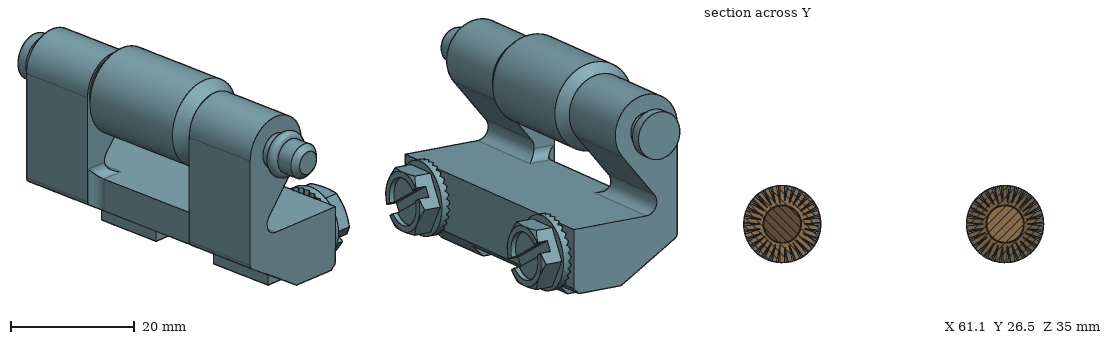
import cadquery as cq
import math


PIN_DIA = 6.0
PIN_HEAD_DIA = 8.0
PIN_HEAD_LENGTH = 1.8
PIN_LEFT_X = -28.85
PIN_LENGTH = 61.1
PIN_TIP_DIA = 4.0
BEAD_X = 27.3
BEAD_RADIUS = (PIN_HEAD_DIA - PIN_DIA) / 2

BRACKET_WIDTH = 50.05
ARM_GAP = 22.7
ARM_RADIUS = 6.0
BACK_Y = 14.0
BEAM_TOP_Z = -14.55
BEAM_FRONT_Y = -4.05
BASE_Z = -25.55
BASE_FRONT_Y = 4.9
NOSE_Z = -19.0
NOSE_FILLET = 1.0
THROAT_RADIUS = 2.0
WINDOW_FILLET = 1.8
BACK_CHAMFER_Z = -24.55

ROLLER_DIA = 15.0
ROLLER_LENGTH = 22.35
ROLLER_CHAMFER = 1.95

OVERALL_HEIGHT = 35.0
FOOT_WIDTH = 12.2
FOOT_X = 12.5
FOOT_BOTTOM_Z = ROLLER_DIA / 2 - OVERALL_HEIGHT

SCREW_X = 18.0
SCREW_Z = -20.0
SHANK_DIA = 6.0
SHANK_DEPTH = 9.8
HEAD_FLATS = 10.0
HEAD_HEIGHT = 3.5
HEAD_BEVEL_DIA = HEAD_FLATS
HEAD_BEVEL_ANGLE = 30.0
SLOT_WIDTH = 1.85
SLOT_DEPTH = 1.9
SLOT_ANGLE = 30.0
RECESS_DIA = 8.0
RECESS_DEPTH = 0.9
WASHER_DIA = 12.5
WASHER_BORE = 6.1
WASHER_THICKNESS = 1.5
TOOTH_COUNT = 30
TOOTH_DEPTH = 0.5
GROOVE_SHARE = 0.9

PIN_RADIUS = PIN_DIA / 2
HEAD_CORNERS = HEAD_FLATS / math.cos(math.pi / 6)
LEFT_ARM_INNER_X = -ARM_GAP / 2


def x_cylinder(diameter, start_x, length):
    """Cylinder on the pin axis."""
    return cq.Workplane("YZ").workplane(offset=start_x).circle(diameter / 2).extrude(length)


def y_cylinder(diameter, start_y, length):
    """Cylinder on the Y axis, running toward +Y."""
    return cq.Workplane("XZ", origin=(0, start_y, 0)).circle(diameter / 2).extrude(-length)


def x_extrusion(outline, width, center_x=0):
    """Extrude a YZ outline symmetrically about a plane of constant X."""
    return outline.extrude(width / 2, both=True).translate((center_x, 0, 0))


def make_pin():
    """Headed pin with a chamfered tip and a retaining bead."""
    tip_chamfer = (PIN_DIA - PIN_TIP_DIA) / 2
    shaft = x_cylinder(PIN_DIA, PIN_LEFT_X, PIN_LENGTH).faces(">X").chamfer(tip_chamfer)
    head = x_cylinder(PIN_HEAD_DIA, PIN_LEFT_X, PIN_HEAD_LENGTH)
    bead = (
        cq.Workplane("XY")
        .center(BEAD_X, PIN_RADIUS)
        .circle(BEAD_RADIUS)
        .revolve(360, (0, -PIN_RADIUS), (1, -PIN_RADIUS))
    )
    return shaft.union(head).union(bead)


def make_roller():
    """Bevelled roller, pushed against the inner face of the left arm."""
    roller = x_cylinder(ROLLER_DIA, LEFT_ARM_INNER_X, ROLLER_LENGTH)
    roller = roller.faces("<X or >X").chamfer(ROLLER_CHAMFER)
    return roller.cut(x_cylinder(PIN_DIA, LEFT_ARM_INNER_X, ROLLER_LENGTH))


def bracket_profile():
    """Hook-shaped side outline: eye, straight front, sloped underside, base and throat."""
    throat_z = BEAM_TOP_Z + THROAT_RADIUS
    tangent_sin = (ARM_RADIUS + THROAT_RADIUS) / -throat_z
    tangent_cos = math.sqrt(1 - tangent_sin**2)
    arc_mid_offset = THROAT_RADIUS * math.sqrt(0.5)
    chamfer_run = BACK_CHAMFER_Z - BASE_Z
    return (
        cq.Workplane("YZ")
        .moveTo(-ARM_RADIUS, 0)
        .lineTo(-ARM_RADIUS, NOSE_Z)
        .lineTo(BASE_FRONT_Y, BASE_Z)
        .lineTo(BACK_Y - chamfer_run, BASE_Z)
        .lineTo(BACK_Y, BACK_CHAMFER_Z)
        .lineTo(BACK_Y, BEAM_TOP_Z)
        .lineTo(0, BEAM_TOP_Z)
        .threePointArc(
            (-arc_mid_offset, throat_z - arc_mid_offset),
            (-THROAT_RADIUS * tangent_cos, throat_z + THROAT_RADIUS * tangent_sin),
        )
        .lineTo(ARM_RADIUS * tangent_cos, -ARM_RADIUS * tangent_sin)
        .threePointArc((0, ARM_RADIUS), (-ARM_RADIUS, 0))
        .close()
    )


def cut_window(body):
    """Open the space between the arms and set the beam back from the front face."""
    above_beam = (
        cq.Workplane("XY")
        .box(ARM_GAP, 4 * ARM_RADIUS, 2 * ARM_RADIUS - BEAM_TOP_Z, centered=(True, True, False))
        .translate((0, 0, BEAM_TOP_Z))
        .edges("|Y and <Z")
        .fillet(WINDOW_FILLET)
    )
    before_beam = (
        cq.Workplane("XY")
        .box(ARM_GAP, ARM_RADIUS, -FOOT_BOTTOM_Z, centered=(True, False, False))
        .translate((0, BEAM_FRONT_Y - ARM_RADIUS, FOOT_BOTTOM_Z))
        .edges("|Z and >Y")
        .fillet(WINDOW_FILLET)
    )
    return body.cut(above_beam).cut(before_beam)


def make_foot(center_x):
    """Foot block whose back edge continues the 45 degree chamfer of the base."""
    outline = (
        cq.Workplane("YZ")
        .moveTo(BASE_FRONT_Y, BASE_Z)
        .lineTo(BASE_FRONT_Y, FOOT_BOTTOM_Z)
        .lineTo(BACK_Y - (BACK_CHAMFER_Z - FOOT_BOTTOM_Z), FOOT_BOTTOM_Z)
        .lineTo(BACK_Y - (BACK_CHAMFER_Z - BASE_Z), BASE_Z)
        .close()
    )
    return x_extrusion(outline, FOOT_WIDTH, center_x)


def make_bracket():
    """Bracket with two arms, two feet, the pin bore and two blind screw holes."""
    bracket = x_extrusion(bracket_profile(), BRACKET_WIDTH)
    nose_edge = cq.selectors.NearestToPointSelector((0, -ARM_RADIUS, NOSE_Z))
    bracket = cut_window(bracket.edges(nose_edge).fillet(NOSE_FILLET))
    for side in (-1, 1):
        bracket = bracket.union(make_foot(side * FOOT_X))
        shank_hole = y_cylinder(SHANK_DIA, BACK_Y - SHANK_DEPTH, SHANK_DEPTH)
        bracket = bracket.cut(shank_hole.translate((side * SCREW_X, 0, SCREW_Z)))
    return bracket.cut(x_cylinder(PIN_DIA, -BRACKET_WIDTH / 2, BRACKET_WIDTH))


def tooth_groove():
    """Radial V groove along +X, tapering in proportion to the distance from the washer axis."""
    inner_radius = WASHER_BORE / 4
    outer_radius = WASHER_DIA / 2
    length = outer_radius - inner_radius

    def section(radius):
        half_width = radius * math.tan(GROOVE_SHARE * math.pi / TOOTH_COUNT)
        depth = TOOTH_DEPTH * radius / outer_radius
        return [(-half_width, 0), (half_width, 0), (0, depth)]

    return (
        cq.Workplane("ZY", origin=(outer_radius, 0, 0))
        .polyline(section(outer_radius))
        .close()
        .workplane(offset=length)
        .polyline(section(inner_radius))
        .close()
        .loft(ruled=True)
    )


def make_washer():
    """Washer on the Y axis with its toothed face on Y = 0."""
    washer = y_cylinder(WASHER_DIA, 0, WASHER_THICKNESS).cut(y_cylinder(WASHER_BORE, 0, WASHER_THICKNESS))
    groove = tooth_groove()
    for index in range(TOOTH_COUNT):
        washer = washer.cut(groove.rotate((0, 0, 0), (0, 1, 0), index * 360 / TOOTH_COUNT))
    return washer


def make_screw():
    """Slotted hexagon screw on the Y axis; Y = 0 is the plane of the mounting face."""
    head_top = WASHER_THICKNESS + HEAD_HEIGHT
    head = cq.Workplane("XZ", origin=(0, WASHER_THICKNESS, 0)).polygon(6, HEAD_CORNERS).extrude(-HEAD_HEIGHT)
    bevel_rise = math.tan(math.radians(HEAD_BEVEL_ANGLE))
    bevel_drop = (HEAD_CORNERS - HEAD_BEVEL_DIA) / 2 * bevel_rise
    bevel_envelope = (
        cq.Workplane("XY")
        .moveTo(0, WASHER_THICKNESS)
        .lineTo(HEAD_CORNERS / 2, WASHER_THICKNESS)
        .lineTo(HEAD_CORNERS / 2, head_top - bevel_drop)
        .lineTo(HEAD_BEVEL_DIA / 2, head_top)
        .lineTo(0, head_top)
        .close()
        .revolve(360, (0, 0), (0, 1))
    )
    slot = (
        cq.Workplane("XY")
        .box(2 * HEAD_CORNERS, 2 * SLOT_DEPTH, SLOT_WIDTH)
        .rotate((0, 0, 0), (0, 1, 0), SLOT_ANGLE)
        .translate((0, head_top, 0))
    )
    recess = y_cylinder(RECESS_DIA, head_top - RECESS_DEPTH, RECESS_DEPTH)
    shank = y_cylinder(SHANK_DIA, -SHANK_DEPTH, SHANK_DEPTH + WASHER_THICKNESS)
    return head.intersect(bevel_envelope).cut(slot).cut(recess).union(shank)


bracket = make_bracket()
pin = make_pin()
roller = make_roller()
washer = make_washer()
screw = make_screw()

screw_places = [(side * SCREW_X, BACK_Y, SCREW_Z) for side in (-1, 1)]
washers = [washer.translate(place).val() for place in screw_places]
screws = [screw.translate(place).val() for place in screw_places]

result = cq.Compound.makeCompound([bracket.val(), pin.val(), roller.val(), *washers, *screws])